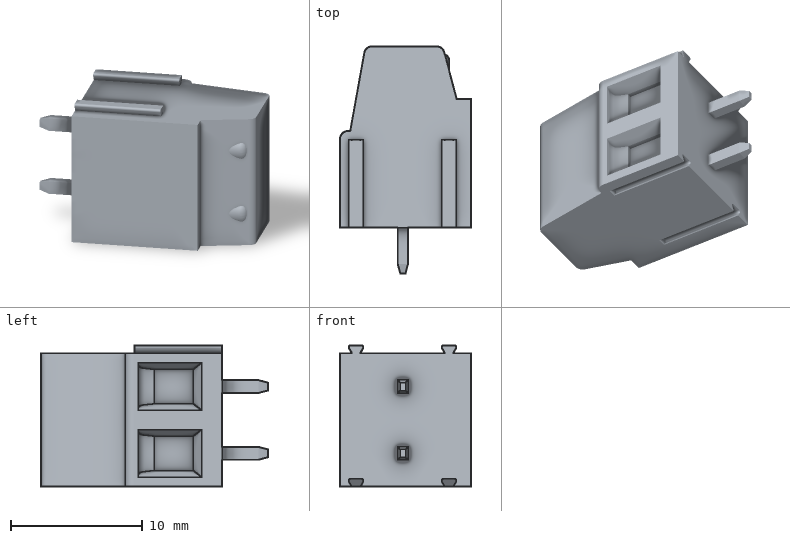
import math

import cadquery as cq


pole_pitch = 5.08
pole_count = 2
housing_depth = 10.0
housing_height = 13.8
stack_height = pole_pitch * pole_count
pole_levels = [pole_pitch * (i + 0.5) for i in range(pole_count)]

front_step_height = 7.37
front_step_width = 0.79
front_lean = math.radians(10.2)
back_step_height = 9.8
back_step_width = 1.1
back_lean = math.radians(15)
front_step_radius = 0.65
top_front_radius = 0.6
top_back_radius = 0.6

rail_positions = [1.24, 8.31]
rail_length = 6.68
rail_height = 0.6
rail_neck_width = 0.65
rail_flank_angle = math.radians(30)
rail_edge_radius = 0.15

pin_x = 4.8
pin_width = 0.8
pin_thickness = 1.0
pin_length = 3.5
pin_tip_length = 0.75
pin_tip_inset = 0.2

entry_bottom = 1.57
entry_top = 6.37
entry_width = 3.6
funnel_depth = 1.12
funnel_side_inset = 0.49
funnel_bottom_inset = 0.63
funnel_roof_start = 0.84
funnel_roof_radius = 0.53
recess_top = 5.17
recess_depth = 0.36

stud_radius = 1.0
stud_x = 7.34
stud_top = 13.2
stud_length = 2.2
stud_edge_radius = 0.5


def make_housing():
    front_top_x = front_step_width + (housing_height - front_step_height) * math.tan(front_lean)
    back_step_x = housing_depth - back_step_width
    back_top_x = back_step_x - (housing_height - back_step_height) * math.tan(back_lean)
    body = (
        cq.Workplane("XY")
        .polyline([
            (0, 0),
            (housing_depth, 0),
            (housing_depth, back_step_height),
            (back_step_x, back_step_height),
            (back_top_x, housing_height),
            (front_top_x, housing_height),
            (front_step_width, front_step_height),
            (0, front_step_height),
        ])
        .close()
        .extrude(stack_height)
    )
    rounded_edges = [
        (0, front_step_height, front_step_radius),
        (front_top_x, housing_height, top_front_radius),
        (back_top_x, housing_height, top_back_radius),
    ]
    for x, y, radius in rounded_edges:
        corner = cq.selectors.NearestToPointSelector((x, y, stack_height / 2))
        body = body.edges("|Z").edges(corner).fillet(radius)
    return body


def make_dovetail(x, base_z):
    """Dovetail bar along Y, standing on base_z and widening towards +Z."""
    neck = rail_neck_width / 2
    crown = neck + rail_height * math.tan(rail_flank_angle)
    return (
        cq.Workplane("XZ", origin=(x, 0, base_z))
        .polyline([(-neck, 0), (neck, 0), (crown, rail_height), (-crown, rail_height)])
        .close()
        .extrude(-rail_length)
        .edges("|Y and >Z")
        .fillet(rail_edge_radius)
    )


def make_pin(z):
    """Pin running down from the housing base, with a tapered tip."""
    shank_length = pin_length - pin_tip_length
    shank = (
        cq.Workplane("XZ", origin=(pin_x, 0, z))
        .rect(pin_width, pin_thickness)
        .extrude(shank_length)
    )
    tip = (
        cq.Workplane("XZ", origin=(pin_x, -shank_length, z))
        .rect(pin_width, pin_thickness)
        .workplane(offset=pin_tip_length)
        .rect(pin_width - 2 * pin_tip_inset, pin_thickness - 2 * pin_tip_inset)
        .loft(ruled=True)
    )
    return shank.union(tip)


def make_wire_entry(z):
    """Volume to remove from the -X face for one wire entry."""
    entry_height = entry_top - entry_bottom
    inner_width = entry_width - 2 * funnel_side_inset
    recess_bottom = entry_bottom + funnel_bottom_inset

    funnel = (
        cq.Workplane("YZ", origin=(0, 0, z))
        .center((entry_bottom + entry_top) / 2, 0)
        .rect(entry_height, entry_width)
        .workplane(offset=funnel_depth)
        .center(funnel_bottom_inset / 2, 0)
        .rect(entry_height - funnel_bottom_inset, inner_width)
        .loft(ruled=True)
    )
    roof_corner = cq.selectors.NearestToPointSelector((funnel_roof_start, entry_top, z))
    roof_limit = (
        cq.Workplane("XY", origin=(0, 0, z))
        .polyline([
            (0, entry_bottom),
            (funnel_depth, entry_bottom),
            (funnel_depth, recess_top),
            (funnel_roof_start, entry_top),
            (0, entry_top),
        ])
        .close()
        .extrude(entry_width / 2, both=True)
        .edges("|Z")
        .edges(roof_corner)
        .fillet(funnel_roof_radius)
    )
    recess = cq.Workplane("XY").box(
        funnel_depth + recess_depth,
        recess_top - recess_bottom,
        inner_width,
        centered=(False, False, True),
    ).translate((0, recess_bottom, z))
    return funnel.intersect(roof_limit).union(recess)


def make_stud(z):
    """Stud along Y with a rounded head, one per pole."""
    return (
        cq.Workplane("XZ", origin=(stud_x, stud_top, z))
        .circle(stud_radius)
        .extrude(stud_length)
        .edges(">Y")
        .fillet(stud_edge_radius)
    )


result = make_housing()
for x in rail_positions:
    result = result.cut(make_dovetail(x, 0)).union(make_dovetail(x, stack_height))
for z in pole_levels:
    result = result.union(make_pin(z)).union(make_stud(z)).cut(make_wire_entry(z))